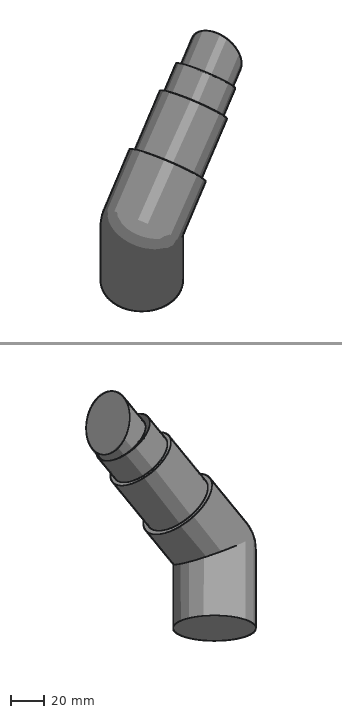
import cadquery as cq

elbow_diameter = 50.0
base_height = 50.0
arm_rise_angle = 30.0
overall_depth = 125.0
arm_steps = [(elbow_diameter, 40.0), (44.0, 80.0), (38.9, 99.0)]
tip_diameter = 34.4
tip_length = 162.6

elbow_radius = elbow_diameter / 2
end_face_y = overall_depth - elbow_radius
last_step_diameter = arm_steps[-1][0]
tip_offset = (last_step_diameter - tip_diameter) / 2

arm_plane = cq.Plane(origin=(0, 0, base_height), xDir=(1, 0, 0), normal=(0, 0, 1)).rotated(
    (arm_rise_angle - 90, 0, 0)
)


def arm_cylinder(diameter, length, offset=0.0):
    """Cylinder along the arm, starting at the elbow centre."""
    return cq.Workplane(arm_plane).center(0, offset).circle(diameter / 2).extrude(length)


base = cq.Workplane("XY").circle(elbow_radius).extrude(base_height)
elbow = cq.Workplane("XY").sphere(elbow_radius).translate((0, 0, base_height))
body = base.union(elbow)

for diameter, end_distance in arm_steps:
    body = body.union(arm_cylinder(diameter, end_distance))
body = body.union(arm_cylinder(tip_diameter, tip_length, tip_offset))

cutter_size = 4 * overall_depth
end_cutter = cq.Workplane("XY").box(cutter_size, cutter_size, cutter_size)
result = body.cut(end_cutter.translate((0, end_face_y + cutter_size / 2, 0)))